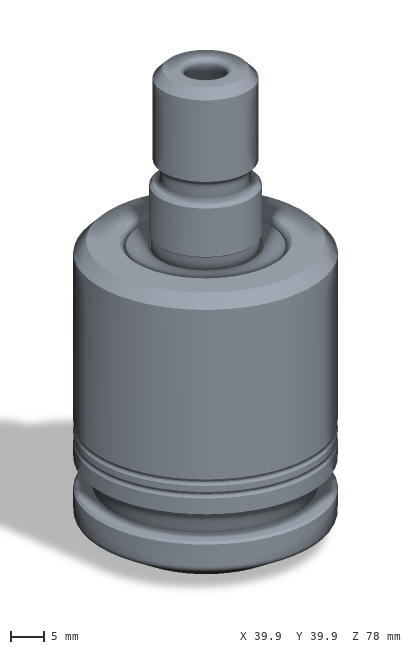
import cadquery as cq
import math

height = 78.0
body_radius = 39.9 / 2
bore_radius = 6.5 / 2
bore_lip_fillet = 1.0

cone_angle = math.radians(30)
cone_corner_z = 3.5
cone_fillet = 1.2
flange_top_z = 8.3
flange_chamfer = 0.4

groove_radius = 34.0 / 2
groove_top_z = 12.7
groove_fillet = 0.4
groove_bottom_fillet = 0.2
groove_edge_chamfer = 0.2

mark_heights = (16.15, 18.25)
mark_depth = 0.3
mark_half_width = 0.55
mark_floor_half_width = 0.1

body_top_z = 49.15
body_chamfer = 1.95
recess_radius = 12.25
recess_chamfer = 0.8
recess_depth = 0.7
disc_edge_chamfer = 0.2

stem_foot_radius = 8.3
stem_clearance_radius = 16.9 / 2
stem_clearance_chamfer = 0.3
shoulder_radius = 17.0 / 2
shoulder_bottom_z = 50.4
shoulder_bottom_chamfer = 0.15
shoulder_top_z = 59.1
shoulder_chamfer = 0.5
neck_radius = 13.7 / 2
neck_fillet = 0.6
head_radius = 16.0 / 2
head_bottom_z = 62.4
head_bottom_chamfer = 0.5
head_top_chamfer = 1.5


def arc_midpoint(center_r, center_z, radius, angle_degrees):
    """Point on a fillet arc, at an angle measured from the outward radial direction."""
    angle = math.radians(angle_degrees)
    return center_r + radius * math.cos(angle), center_z + radius * math.sin(angle)


def turned_profile():
    """Half section in the XZ plane, from the bottom of the bore outward and up to the top."""
    cone_run = cone_corner_z / math.tan(cone_angle)
    fillet_tangent = cone_fillet * math.tan((math.pi / 2 - cone_angle) / 2)
    cone_end = (
        body_radius - fillet_tangent * math.cos(cone_angle),
        cone_corner_z - fillet_tangent * math.sin(cone_angle),
    )
    cone_fillet_end = (body_radius, cone_corner_z + fillet_tangent)
    cone_fillet_middle = arc_midpoint(
        body_radius - cone_fillet, cone_fillet_end[1], cone_fillet,
        -(90 - math.degrees(cone_angle)) / 2,
    )

    profile = (
        cq.Workplane("XZ")
        .moveTo(bore_radius, 0)
        .lineTo(body_radius - cone_run, 0)
        .lineTo(*cone_end)
        .threePointArc(cone_fillet_middle, cone_fillet_end)
        .lineTo(body_radius, flange_top_z - flange_chamfer)
        .lineTo(body_radius - flange_chamfer, flange_top_z)
        .lineTo(groove_radius + groove_bottom_fillet, flange_top_z)
        .threePointArc(
            arc_midpoint(
                groove_radius + groove_bottom_fillet, flange_top_z + groove_bottom_fillet,
                groove_bottom_fillet, 225,
            ),
            (groove_radius, flange_top_z + groove_bottom_fillet),
        )
        .lineTo(groove_radius, groove_top_z - groove_fillet)
        .threePointArc(
            arc_midpoint(groove_radius + groove_fillet, groove_top_z - groove_fillet, groove_fillet, 135),
            (groove_radius + groove_fillet, groove_top_z),
        )
        .lineTo(body_radius - groove_edge_chamfer, groove_top_z)
        .lineTo(body_radius, groove_top_z + groove_edge_chamfer)
    )

    for z in mark_heights:
        profile = (
            profile.lineTo(body_radius, z - mark_half_width)
            .lineTo(body_radius - mark_depth, z - mark_floor_half_width)
            .lineTo(body_radius - mark_depth, z + mark_floor_half_width)
            .lineTo(body_radius, z + mark_half_width)
        )

    recess_z = body_top_z - recess_depth
    profile = (
        profile.lineTo(body_radius, body_top_z - body_chamfer)
        .lineTo(body_radius - body_chamfer, body_top_z)
        .lineTo(recess_radius + recess_chamfer, body_top_z)
        .lineTo(recess_radius, body_top_z - recess_chamfer)
        .lineTo(recess_radius, recess_z - disc_edge_chamfer)
        .lineTo(recess_radius - disc_edge_chamfer, recess_z)
        .lineTo(stem_clearance_radius + stem_clearance_chamfer, recess_z)
        .lineTo(stem_clearance_radius, recess_z - stem_clearance_chamfer)
        .lineTo(stem_foot_radius, recess_z - stem_clearance_chamfer)
    )

    profile = (
        profile.lineTo(stem_foot_radius, shoulder_bottom_z)
        .lineTo(shoulder_radius - shoulder_bottom_chamfer, shoulder_bottom_z)
        .lineTo(shoulder_radius, shoulder_bottom_z + shoulder_bottom_chamfer)
        .lineTo(shoulder_radius, shoulder_top_z - shoulder_chamfer)
        .lineTo(shoulder_radius - shoulder_chamfer, shoulder_top_z)
        .lineTo(neck_radius + neck_fillet, shoulder_top_z)
        .threePointArc(
            arc_midpoint(neck_radius + neck_fillet, shoulder_top_z + neck_fillet, neck_fillet, 225),
            (neck_radius, shoulder_top_z + neck_fillet),
        )
        .lineTo(neck_radius, head_bottom_z - neck_fillet)
        .threePointArc(
            arc_midpoint(neck_radius + neck_fillet, head_bottom_z - neck_fillet, neck_fillet, 135),
            (neck_radius + neck_fillet, head_bottom_z),
        )
    )

    return (
        profile.lineTo(head_radius - head_bottom_chamfer, head_bottom_z)
        .lineTo(head_radius, head_bottom_z + head_bottom_chamfer)
        .lineTo(head_radius, height - head_top_chamfer)
        .lineTo(head_radius - head_top_chamfer, height)
        .lineTo(bore_radius + bore_lip_fillet, height)
        .threePointArc(
            arc_midpoint(bore_radius + bore_lip_fillet, height - bore_lip_fillet, bore_lip_fillet, 135),
            (bore_radius, height - bore_lip_fillet),
        )
        .close()
    )


result = turned_profile().revolve(360, (0, 0, 0), (0, 1, 0))